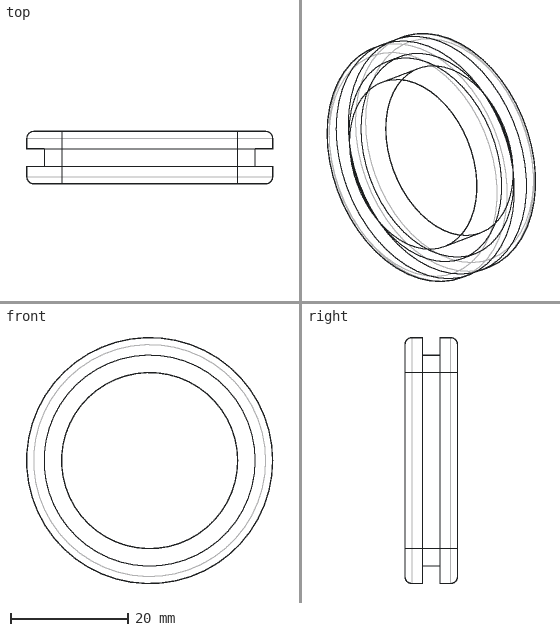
import cadquery as cq

outer_diameter = 42.0
bore_diameter = 30.0
groove_diameter = 36.0
ring_width = 9.0
groove_width = 3.0
rim_fillet = 1.2


def cylinder_along_y(diameter, width):
    """Solid cylinder on the Y axis, centred on the origin."""
    return cq.Workplane("XZ", origin=(0, width / 2, 0)).circle(diameter / 2).extrude(width)


body = cylinder_along_y(outer_diameter, ring_width).faces("<Y or >Y").edges().fillet(rim_fillet)

groove = cylinder_along_y(outer_diameter, groove_width).cut(
    cylinder_along_y(groove_diameter, groove_width)
)

bore = cylinder_along_y(bore_diameter, ring_width)

result = body.cut(groove).cut(bore)